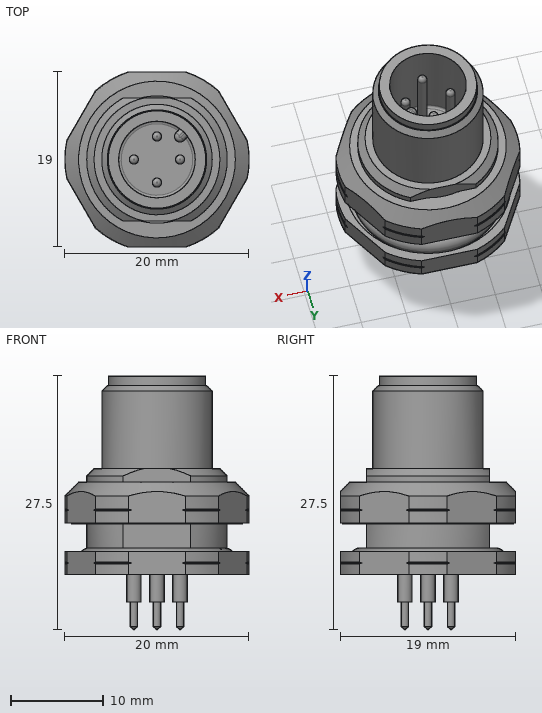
import cadquery as cq
import math

across_flats = 19.0
corner_diameter = 20.0
corner_radius = corner_diameter / 2
corner_groove = 0.1
flange_bottom = 6.0
flange_top = 8.5
nut_bottom = 11.47
nut_top = 16.0
nut_washer_height = 0.1
nut_washer_radius = 9.3
nut_top_radius = 8.5
nut_bore_radius = 6.9

seal_groove_radius = 9.0
seal_groove_floor = 6.7
seal_radius = 7.4
seal_section_radius = 1.0
seal_height = 7.9

body_radius = 7.62
body_flat_offset = 6.68
body_top = 17.5
body_chamfer = 0.8
sleeve_top = 27.5
sleeve_radius = 6.0
sleeve_chamfer = 0.6
lip_bottom = 26.48
lip_radius = 5.28
bore_radius = 4.15
bore_fillet = 0.28

contact_count = 4
contact_offset = 2.5
contact_radius = 0.5
contact_top = 25.5
contact_rounding = 0.45
terminal_radius = 0.8
terminal_bottom = 3.0
terminal_tail_radius = 0.4
terminal_point_height = 0.35
key_radius = 0.6
key_top = 27.0
key_rounding = 0.5
key_angle = 45


def cylinder(radius, bottom, top):
    return cq.Workplane("XY").workplane(offset=bottom).circle(radius).extrude(top - bottom)


def revolve_profile(points):
    """Turn a closed (radius, height) outline about the Z axis."""
    return cq.Workplane("XZ").polyline(points).close().revolve(360, (0, 0), (0, 1))


def grooved_hexagon(bottom, top, groove_height):
    """Hexagon with turned corners and a shallow V groove around them."""
    hexagon = (
        cq.Workplane("XY")
        .workplane(offset=bottom)
        .polygon(6, across_flats / math.cos(math.pi / 6))
        .extrude(top - bottom)
    )
    envelope = revolve_profile([
        (0, bottom),
        (corner_radius, bottom),
        (corner_radius, groove_height - corner_groove),
        (corner_radius - corner_groove, groove_height),
        (corner_radius, groove_height + corner_groove),
        (corner_radius, top),
        (0, top),
    ])
    return hexagon.intersect(envelope)


def make_flange():
    middle = (flange_bottom + flange_top) / 2
    flange = grooved_hexagon(flange_bottom, flange_top, middle)
    groove = (
        cq.Workplane("XY")
        .workplane(offset=seal_groove_floor)
        .circle(seal_groove_radius)
        .circle(body_flat_offset)
        .extrude(flange_top - seal_groove_floor)
    )
    seal = (
        cq.Workplane("XZ")
        .center(seal_radius, seal_height)
        .circle(seal_section_radius)
        .revolve(360, (-seal_radius, 0), (-seal_radius, 1))
    )
    return flange.cut(groove).union(seal)


def make_nut():
    chamfer = corner_radius - nut_top_radius
    hexagon_bottom = nut_bottom + nut_washer_height
    groove_height = (nut_bottom + nut_top - chamfer) / 2
    hexagon = grooved_hexagon(hexagon_bottom, nut_top, groove_height)
    chamfer_envelope = revolve_profile([
        (0, hexagon_bottom),
        (corner_radius, hexagon_bottom),
        (corner_radius, nut_top - chamfer),
        (nut_top_radius, nut_top),
        (0, nut_top),
    ])
    washer_face = cylinder(nut_washer_radius, nut_bottom, hexagon_bottom)
    bore = cylinder(nut_bore_radius, nut_bottom, nut_top)
    return hexagon.intersect(chamfer_envelope).union(washer_face).cut(bore)


def make_body():
    body = cylinder(body_radius, flange_top, body_top).faces(">Z").chamfer(body_chamfer)
    flats = (
        cq.Workplane("XY")
        .workplane(offset=flange_top)
        .rect(2 * body_radius, 2 * body_flat_offset)
        .extrude(body_top - flange_top)
    )
    return body.intersect(flats)


def make_sleeve():
    sleeve = cylinder(sleeve_radius, body_top, lip_bottom).faces(">Z").chamfer(sleeve_chamfer)
    return sleeve.union(cylinder(lip_radius, lip_bottom, sleeve_top))


def make_bore():
    return cylinder(bore_radius, body_top, sleeve_top).faces("<Z").edges().fillet(bore_fillet)


def make_contact():
    """Round-ended contact above, stepped and pointed solder terminal below."""
    upper = cylinder(contact_radius, flange_top, contact_top)
    upper = upper.faces(">Z").edges().fillet(contact_rounding)
    lower = revolve_profile([
        (0, 0),
        (terminal_tail_radius, terminal_point_height),
        (terminal_tail_radius, terminal_bottom),
        (terminal_radius, terminal_bottom),
        (terminal_radius, flange_top),
        (0, flange_top),
    ])
    return upper.union(lower)


def make_key():
    """Round-topped rib running from the sleeve wall to a rounded inner end."""
    inner_end = contact_offset * math.sqrt(2)
    outer_end = (bore_radius + lip_radius) / 2
    length = outer_end - inner_end + 2 * key_radius
    rib = (
        cq.Workplane("XY")
        .workplane(offset=body_top)
        .center((inner_end + outer_end) / 2, 0)
        .slot2D(length, 2 * key_radius)
        .extrude(key_top - body_top)
        .faces(">Z")
        .edges()
        .fillet(key_rounding)
    )
    wall_envelope = cylinder(outer_end, body_top, sleeve_top)
    return rib.intersect(wall_envelope).rotate((0, 0, 0), (0, 0, 1), key_angle)


result = (
    make_flange()
    .union(make_body())
    .union(make_sleeve())
    .union(make_nut())
    .cut(make_bore())
    .union(make_key())
)

for contact in range(contact_count):
    angle = contact * 2 * math.pi / contact_count
    place = (contact_offset * math.cos(angle), contact_offset * math.sin(angle), 0)
    result = result.union(make_contact().translate(place))